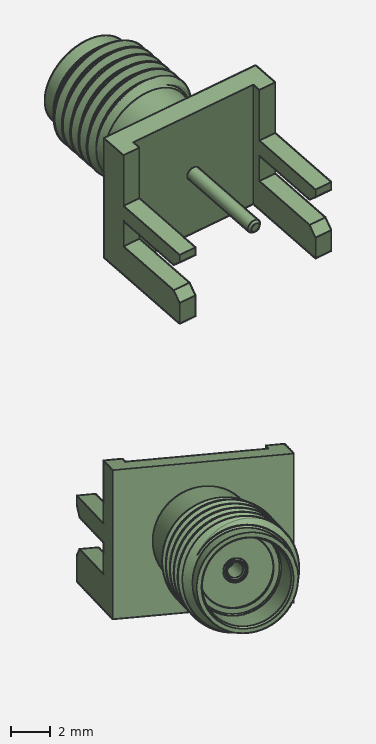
import cadquery as cq
import math

total_length = 14.27
flange_width = 9.53
flange_height = 7.92

barrel_radius = 2.67
bore_mouth_radius = 2.43
bore_radius = 2.34
mouth_chamfer_depth = 0.14
bore_depth = 1.98
floor_chamfer = 0.07

insulator_radius = 1.97
insulator_recess = 0.11
contact_radius = 0.64
contact_tip_radius = 0.54
contact_countersink_radius = 0.5
contact_hole_radius = 0.41
contact_hole_depth = 1.71

thread_start = 0.78
thread_end = 5.08
thread_radius = 3.14
thread_root_radius = 2.77
thread_pitch = 0.7
groove_root_width = 0.15
groove_flank_angle = 30.0
groove_overcut = 0.07
first_groove_at = -0.13

flange_start = 7.85
plate_thickness = 1.15
cheek_thickness = 1.67
cheek_width = 1.0
lower_leg_top = 1.88
upper_leg_bottom = 3.55
upper_leg_top = 4.57
leg_chamfer = 0.5

pin_radius = 0.39
pin_chamfer = 0.13


def cylinder(start, end, radius):
    """Round bar along the connector axis."""
    return cq.Workplane("YZ", origin=(start, 0, 0)).circle(radius).extrude(end - start)


def make_thread_groove():
    """Right-handed helical groove, swept along Z and then laid onto the X axis."""
    outer_radius = thread_radius + groove_overcut
    half_root = groove_root_width / 2
    flank = (outer_radius - thread_root_radius) * math.tan(math.radians(groove_flank_angle))
    half_top = half_root + flank
    turns = math.ceil((thread_end - first_groove_at) / thread_pitch)
    helix = cq.Wire.makeHelix(thread_pitch, turns * thread_pitch, thread_root_radius)
    profile = cq.Workplane("XZ").polyline([
        (thread_root_radius, -half_root),
        (outer_radius, -half_top),
        (outer_radius, half_top),
        (thread_root_radius, half_root),
    ]).close()
    groove = profile.sweep(cq.Workplane(helix), isFrenet=True)
    return groove.rotate((0, 0, 0), (0, 1, 0), 90).translate((first_groove_at, 0, 0))


def make_thread():
    """Threaded sleeve whose two ends are chamfered down to the barrel."""
    sleeve = cylinder(thread_start, thread_end, thread_radius)
    chamfered_sleeve = sleeve.edges("%CIRCLE").chamfer(thread_radius - barrel_radius)
    return sleeve.cut(make_thread_groove()).intersect(chamfered_sleeve)


def make_bore():
    """Stepped socket down to the insulator, with the bevelled contact tip and its hole."""
    recess_floor = bore_depth + insulator_recess
    tip_bevel = contact_radius - contact_tip_radius
    countersink = contact_countersink_radius - contact_hole_radius
    return (
        cq.Workplane("XY")
        .moveTo(0, 0)
        .lineTo(0, bore_mouth_radius)
        .lineTo(mouth_chamfer_depth, bore_radius)
        .lineTo(bore_depth - floor_chamfer, bore_radius)
        .lineTo(bore_depth, bore_radius - floor_chamfer)
        .lineTo(bore_depth, insulator_radius)
        .lineTo(recess_floor, insulator_radius)
        .lineTo(recess_floor, contact_radius)
        .lineTo(recess_floor + tip_bevel, contact_radius)
        .lineTo(recess_floor, contact_tip_radius)
        .lineTo(recess_floor, contact_countersink_radius)
        .lineTo(recess_floor + countersink, contact_hole_radius)
        .lineTo(recess_floor + contact_hole_depth, contact_hole_radius)
        .lineTo(recess_floor + contact_hole_depth, 0)
        .close()
        .revolve(360, (0, 0, 0), (1, 0, 0))
    )


def make_cheek(outer_y):
    """Side wall of the flange with its two legs; it extends from outer_y towards +Y."""
    bottom = -flange_height / 2
    cheek_end = flange_start + cheek_thickness
    chamfer_start = total_length - leg_chamfer
    outline = [
        (flange_start, 0),
        (total_length, 0),
        (total_length, lower_leg_top - leg_chamfer),
        (chamfer_start, lower_leg_top),
        (cheek_end, lower_leg_top),
        (cheek_end, upper_leg_bottom),
        (chamfer_start, upper_leg_bottom),
        (total_length, upper_leg_bottom + leg_chamfer),
        (total_length, upper_leg_top),
        (cheek_end, upper_leg_top),
        (cheek_end, flange_height),
        (flange_start, flange_height),
    ]
    profile = cq.Workplane("XZ", origin=(0, outer_y, bottom)).polyline(outline).close()
    return profile.extrude(-cheek_width)


barrel = cylinder(0, flange_start + plate_thickness, barrel_radius)
connector = barrel.union(make_thread()).cut(make_bore())

plate = (
    cq.Workplane("YZ", origin=(flange_start, 0, 0))
    .rect(flange_width, flange_height)
    .extrude(plate_thickness)
)
pin = cylinder(flange_start, total_length, pin_radius).faces(">X").chamfer(pin_chamfer)

result = connector.union(plate).union(pin)
for outer_y in (-flange_width / 2, flange_width / 2 - cheek_width):
    result = result.union(make_cheek(outer_y))